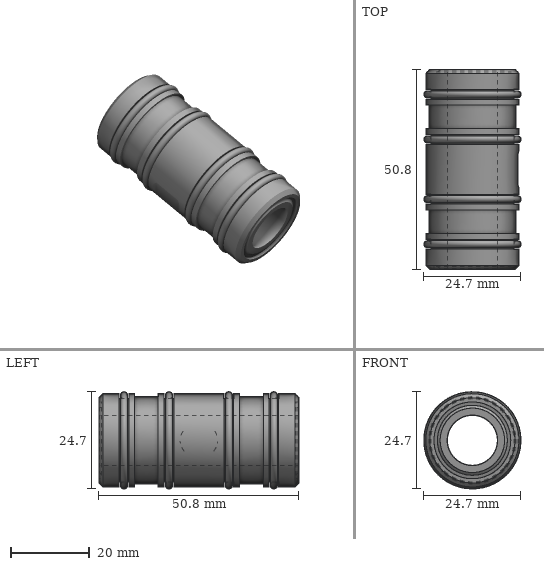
import cadquery as cq

length = 50.8
half_length = length / 2
outer_radius = 11.85
bore_radius = 6.35
end_chamfer = 1.0

waist_radius = 11.05
waist_start = 9.05
waist_width = 6.0

groove_floor_radius = 10.55
groove_width = 2.5
groove_starts = (5.15, 16.55)
ring_outer_radius = 12.35
ring_section_radius = (ring_outer_radius - groove_floor_radius) / 2
ring_centre_radius = groove_floor_radius + ring_section_radius

recess_outer_radius = 9.75
recess_floor_radius = 8.9
lip_radius = 8.2
recess_depth = 0.7
lip_setback = 0.2

flat_depth = 0.3
flat_floor_length = 7.6
flat_mouth_length = 9.55

end_sides = (-1, 1)


def tube(inner_radius, radius, start, width):
    """Tube along Y, beginning at Y = start."""
    return (
        cq.Workplane("XZ", origin=(0, start, 0))
        .circle(radius)
        .circle(inner_radius)
        .extrude(-width)
    )


def band_cut(floor_radius, distance_from_end, width, side):
    """Cutter for a square band around the sleeve near one end."""
    centre = side * (half_length - distance_from_end - width / 2)
    return tube(floor_radius, ring_outer_radius, centre - width / 2, width)


def end_recess_cut(side):
    """Cutter for the recess in one end face, including the lip setback."""
    face = side * half_length
    lip = side * (half_length - lip_setback)
    floor = side * (half_length - recess_depth)
    return (
        cq.Workplane("XY")
        .polyline([
            (bore_radius, lip),
            (bore_radius, face),
            (recess_outer_radius, face),
            (recess_outer_radius, floor),
            (recess_floor_radius, floor),
            (lip_radius, lip),
        ])
        .close()
        .revolve(360, (0, 0, 0), (0, 1, 0))
    )


def side_flat_cut():
    """Cutter for the shallow flat on the +X side."""
    floor_x = outer_radius - flat_depth
    half_floor = flat_floor_length / 2
    half_mouth = flat_mouth_length / 2
    return (
        cq.Workplane("XY")
        .polyline([
            (floor_x, -half_floor),
            (outer_radius, -half_mouth),
            (outer_radius, half_mouth),
            (floor_x, half_floor),
        ])
        .close()
        .extrude(outer_radius, both=True)
    )


def make_sleeve():
    sleeve = tube(bore_radius, outer_radius, -half_length, length)
    sleeve = sleeve.edges(cq.selectors.RadiusNthSelector(-1)).chamfer(end_chamfer)
    for side in end_sides:
        sleeve = sleeve.cut(band_cut(waist_radius, waist_start, waist_width, side))
        sleeve = sleeve.cut(end_recess_cut(side))
        for start in groove_starts:
            sleeve = sleeve.cut(band_cut(groove_floor_radius, start, groove_width, side))
    return sleeve.cut(side_flat_cut())


def make_seal_ring(centre_y):
    """O-ring around the Y axis, resting on its groove floor."""
    return (
        cq.Workplane("XY")
        .center(ring_centre_radius, centre_y)
        .circle(ring_section_radius)
        .revolve(360, (-ring_centre_radius, 0, 0), (-ring_centre_radius, 1, 0))
    )


sleeve = make_sleeve()
seal_rings = [
    make_seal_ring(side * (half_length - start - groove_width / 2))
    for side in end_sides
    for start in groove_starts
]

result = cq.Compound.makeCompound([sleeve.val(), *[ring.val() for ring in seal_rings]])